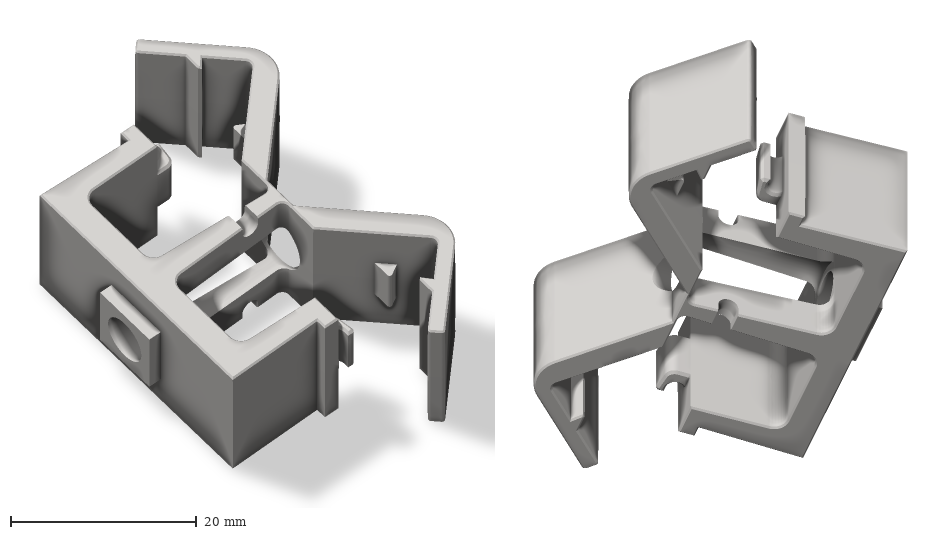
import cadquery as cq
import math


height = 16.0
half_height = height / 2
draft_angle = 0.25
edge_chamfer = 0.2

base_half_width = 16.3
wall_outer_top_x = 15.95
wall_inner_top_x = 13.25
wall_inner_floor_x = 13.05
wall_top_y = 14.0
lug_half_width = 17.25
lug_bottom_y = 12.05
floor_y = 3.55
pocket_radius = 1.5

post_half_width_floor = 1.7
post_half_width_top = 1.0
post_radius = 0.9

plate_front_y = 19.7
plate_rear_y = 20.2
plate_rear_half_width = 2.2
inner_apex_x = 15.6
inner_apex_rise = 9.55
inner_apex_y = plate_front_y + inner_apex_rise
inner_apex_radius = 0.8
outer_apex_y = 32.8
outer_apex_x = plate_rear_half_width + outer_apex_y - plate_rear_y
outer_apex_radius = 3.9
tip_x_minus_y = 4.42
tip_radius = 0.4

outer_barb_root_x = 19.45
outer_barb_reach = 1.13
outer_barb_face_y = 24.1
outer_barb_blunt = 0.32
inner_barb_root_x = 12.45
inner_barb_tip_x = 13.43
inner_barb_face_y = 24.4
inner_barb_tip_radius = 0.3
inner_barb_height = 5.45
barb_embed = 1.0

hook_height = 6.15
hook_tip_x = 16.6
hook_tip_y = 16.85
hook_back_inset = 0.02
hook_back_x = wall_inner_top_x + hook_back_inset
hook_back_y = 16.45
hook_radius = 1.2
hook_tip_bevel = 0.3
hook_gap_x = 15.9
hook_gap_y = 14.85
hook_gap_radius = 1.0
hook_chamfer = 0.3
hook_embed = 1.0

pad_size = 8.3
pad_thickness = 1.6
screw_diameter = 5.6
head_diameter = 7.65
notch_radius = 1.13
notch_y = 14.97
notch_depth = 2.1


def unit_directions(corners, i):
    """Unit vectors along the edges arriving at and leaving corner i."""
    before = cq.Vector(*corners[i - 1][:2])
    corner = cq.Vector(*corners[i][:2])
    after = cq.Vector(*corners[(i + 1) % len(corners)][:2])
    return (corner - before).normalized(), (after - corner).normalized()


def inset_corners(corners, inset):
    """Move every edge of a counterclockwise outline inward by inset, keeping its arcs concentric."""
    moved = []
    for i, (x, y, radius) in enumerate(corners):
        arriving, leaving = unit_directions(corners, i)
        turn = arriving.cross(leaving).z
        shift = (leaving - arriving) * (inset / turn)
        new_radius = radius - math.copysign(inset, turn) if radius else 0
        moved.append((x + shift.x, y + shift.y, new_radius))
    return moved


def rounded_outline(corners, z=0):
    """Closed wire at height z through (x, y, radius) corners; a radius of 0 keeps the corner sharp."""
    edges = []
    arcs = []
    for i, (x, y, radius) in enumerate(corners):
        corner = cq.Vector(x, y, z)
        if radius == 0:
            arcs.append((corner, None, corner))
            continue
        arriving, leaving = unit_directions(corners, i)
        half_turn = arriving.getAngle(leaving) / 2
        setback = radius * math.tan(half_turn)
        depth = radius / math.cos(half_turn) - radius
        middle = corner + (leaving - arriving).normalized() * depth
        arcs.append((corner - arriving * setback, middle, corner + leaving * setback))
    for i, (start, middle, end) in enumerate(arcs):
        edges.append(cq.Edge.makeLine(arcs[i - 1][2], start))
        if middle is not None:
            edges.append(cq.Edge.makeThreePointArc(start, middle, end))
    return cq.Wire.assembleEdges(edges)


def mirrored(shape):
    """The shape together with its mirror image across X = 0."""
    return shape.union(shape.mirror("YZ"))


def thick_plate(outline, thickness):
    """Extrude a closed wire symmetrically about Z = 0."""
    return cq.Workplane("XY").add(outline).toPending().extrude(thickness / 2, both=True)


def body_corners():
    """Corners of the whole body outline at the mid plane, counterclockwise."""
    inner_sum = inner_apex_x + inner_apex_y
    outer_sum = outer_apex_x + outer_apex_y
    barb_tip_x = outer_barb_root_x - outer_barb_reach
    tip_outer_x = (outer_sum + tip_x_minus_y) / 2
    tip_inner_x = (inner_sum + tip_x_minus_y) / 2
    right_half = [
        (base_half_width, 0, 0),
        (wall_outer_top_x, lug_bottom_y, 0),
        (lug_half_width, lug_bottom_y, 0),
        (lug_half_width, wall_top_y, 0),
        (wall_inner_top_x, wall_top_y, 0),
        (wall_inner_floor_x, floor_y, pocket_radius),
        (post_half_width_floor, floor_y, pocket_radius),
        (post_half_width_top, plate_front_y, post_radius),
        (inner_apex_x - inner_apex_rise, plate_front_y, 0),
        (inner_apex_x, inner_apex_y, inner_apex_radius),
        (outer_barb_root_x, inner_sum - outer_barb_root_x, 0),
        (barb_tip_x, outer_barb_face_y + outer_barb_blunt, 0),
        (barb_tip_x + outer_barb_blunt, outer_barb_face_y, 0),
        (inner_sum - outer_barb_face_y, outer_barb_face_y, 0),
        (tip_inner_x, inner_sum - tip_inner_x, tip_radius),
        (tip_outer_x, outer_sum - tip_outer_x, tip_radius),
        (outer_apex_x, outer_apex_y, outer_apex_radius),
        (plate_rear_half_width, plate_rear_y, 0),
    ]
    left_half = [(-x, y, radius) for x, y, radius in reversed(right_half)]
    return right_half + left_half


def body_section(z, draft_inset, chamfer_inset):
    """Outline of the body at height z; the front face of the base has no draft."""
    corners = inset_corners(body_corners(), draft_inset + chamfer_inset)
    for i in (0, -1):
        x, _, radius = corners[i]
        corners[i] = (x, chamfer_inset, radius)
    return rounded_outline(corners, z)


def make_body():
    """Drafted body, split at the mid plane, with chamfered top and bottom edges."""
    chamfer_z = half_height - edge_chamfer
    draft_inset = chamfer_z * math.tan(math.radians(draft_angle))
    sections = [
        body_section(0, 0, 0),
        body_section(chamfer_z, draft_inset, 0),
        body_section(half_height, draft_inset, edge_chamfer),
    ]
    upper = cq.Workplane(cq.Solid.makeLoft(sections, True))
    return upper.union(upper.mirror("XY"))


def make_inner_barb():
    """Short barbs with a rounded nose on the inner wings."""
    line_offset = inner_apex_y - inner_apex_x
    face_root_x = inner_barb_face_y - line_offset
    back_root_y = inner_barb_root_x + line_offset
    outline = rounded_outline([
        (face_root_x, inner_barb_face_y, 0),
        (inner_barb_tip_x, inner_barb_face_y, inner_barb_tip_radius),
        (inner_barb_root_x, back_root_y, 0),
        (inner_barb_root_x - barb_embed, back_root_y + barb_embed, 0),
        (face_root_x - barb_embed, inner_barb_face_y + barb_embed, 0),
    ])
    return mirrored(thick_plate(outline, inner_barb_height))


def make_hook():
    """Chamfered hooks on the side walls, each with a round gap open to the outside."""
    root_y = wall_top_y - hook_embed
    outline = rounded_outline([
        (hook_back_x, root_y, 0),
        (hook_tip_x, root_y, 0),
        (hook_tip_x, hook_tip_y - hook_tip_bevel, 0),
        (hook_tip_x - hook_tip_bevel, hook_tip_y, 0),
        (hook_back_x, hook_back_y, hook_radius),
    ])
    hook = thick_plate(outline, hook_height)
    gap_length = lug_half_width - hook_gap_x
    gap = (
        cq.Workplane("XY")
        .center(hook_gap_x, hook_gap_y)
        .moveTo(0, hook_gap_radius)
        .threePointArc((-hook_gap_radius, 0), (0, -hook_gap_radius))
        .lineTo(gap_length, -hook_gap_radius)
        .lineTo(gap_length, hook_gap_radius)
        .close()
    )
    hook = hook.cut(gap.extrude(hook_height, both=True))
    return mirrored(hook.faces(">Z or <Z").edges().chamfer(hook_chamfer))


def make_pad():
    """Square pad on the front of the base."""
    pad = cq.Workplane("XY").box(pad_size, pad_thickness, pad_size)
    return pad.translate((0, -pad_thickness / 2, 0))


def bore(diameter, start_y, end_y):
    """Cylinder along Y between two positions."""
    length = end_y - start_y
    return cq.Workplane("XZ", origin=(0, start_y, 0)).circle(diameter / 2).extrude(-length)


def make_notch():
    """Round-bottomed slots across the post, at its top and bottom."""
    bottom_z = half_height - notch_depth
    slot = (
        cq.Workplane("YZ")
        .center(notch_y, bottom_z + notch_radius)
        .moveTo(-notch_radius, 0)
        .threePointArc((0, -notch_radius), (notch_radius, 0))
        .lineTo(notch_radius, notch_depth)
        .lineTo(-notch_radius, notch_depth)
        .close()
        .extrude(2 * post_half_width_floor, both=True)
    )
    return slot.union(slot.mirror("XY"))


result = make_body().union(make_inner_barb()).union(make_pad())
result = result.cut(bore(screw_diameter, -pad_thickness, floor_y))
result = result.cut(bore(head_diameter, floor_y, outer_apex_y))
result = result.cut(make_notch())
result = result.union(make_hook())